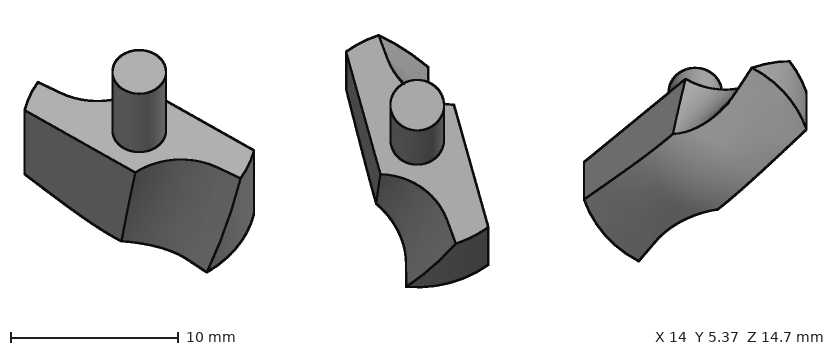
import cadquery as cq
import math

total_height = 14.7
head_diameter = 14.0
head_thickness = 5.37
head_height = 8.7
cone_height = 2.12
shank_diameter = 3.2

face_angle = 4.4
face_inner_radius = 5.42
flute_radius = 4.35
flute_reach = 11.76
twist_per_unit = 3.735

head_radius = head_diameter / 2


def make_blank():
    """Pointed round blank trimmed to a flat blade."""
    blank = (
        cq.Workplane("XZ")
        .moveTo(0, 0)
        .lineTo(head_radius, cone_height)
        .lineTo(head_radius, head_height)
        .lineTo(0, head_height)
        .close()
        .revolve(360, (0, 0), (0, 1))
    )
    blade = cq.Workplane("XY").box(
        head_diameter, head_thickness, head_height, centered=(True, True, False)
    )
    return blank.intersect(blade)


def make_flute():
    """Twisted cutter, with its cutting face along +X before rotation."""
    wall_center_x = face_inner_radius
    wall_left_x = wall_center_x - flute_radius
    diagonal = flute_radius * math.sqrt(0.5)
    twist = twist_per_unit * head_height
    cutter = (
        cq.Workplane("XY")
        .moveTo(face_inner_radius, 0)
        .threePointArc(
            (wall_center_x - diagonal, diagonal - flute_radius),
            (wall_left_x, -flute_radius),
        )
        .lineTo(wall_left_x, -flute_reach)
        .lineTo(flute_reach, -flute_reach)
        .lineTo(flute_reach, 0)
        .close()
        .twistExtrude(head_height, twist)
    )
    return cutter.rotate((0, 0, 0), (0, 0, 1), face_angle - twist)


def make_shank():
    """Round shank standing on the head."""
    return (
        cq.Workplane("XY")
        .workplane(offset=head_height)
        .circle(shank_diameter / 2)
        .extrude(total_height - head_height)
    )


head = make_blank()
flute = make_flute()
for side_angle in (0, 180):
    head = head.cut(flute.rotate((0, 0, 0), (0, 0, 1), side_angle))

result = head.union(make_shank())